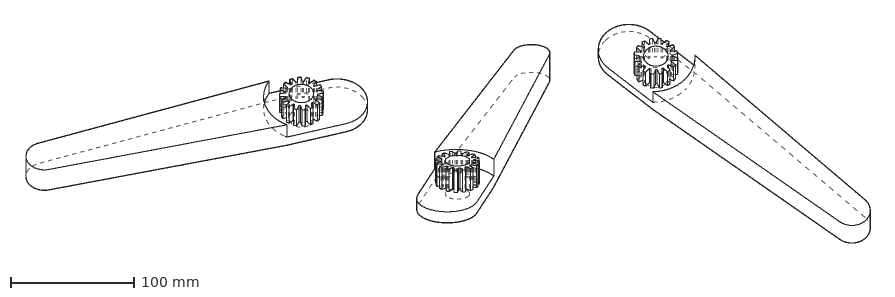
import cadquery as cq
import math

total_length = 288.5
head_width = 50.0
head_thickness = 10.0
handle_thickness = 25.0
total_height = 30.0

head_radius = head_width / 2
head_end_y = 55.0
head_center_y = head_end_y - head_radius
handle_start_y = -20.0
step_bottom_y = -30.5
tip_radius = 15.0
tip_end_y = head_end_y - total_length
tip_center_y = tip_end_y + tip_radius

tooth_count = 16
tip_circle_radius = 18.0
root_circle_radius = 13.3
tooth_tip_width = 2.5
tooth_root_width = 4.0
bore_diameter = 20.0


def tip_tangent_point():
    """Point on the +X side where the tapered edge meets the tip arc tangentially."""
    run = handle_start_y - tip_center_y
    distance = math.hypot(head_radius, run)
    angle = math.atan2(run, head_radius) - math.acos(tip_radius / distance)
    return tip_radius * math.cos(angle), tip_center_y + tip_radius * math.sin(angle)


def make_head():
    """Thin plate with a round end, bounded below by the curved step."""
    return (
        cq.Workplane("XY")
        .moveTo(head_radius, handle_start_y)
        .lineTo(head_radius, head_center_y)
        .threePointArc((0, head_end_y), (-head_radius, head_center_y))
        .lineTo(-head_radius, handle_start_y)
        .threePointArc((0, step_bottom_y), (head_radius, handle_start_y))
        .close()
        .extrude(head_thickness)
    )


def make_handle():
    """Thick tapered handle with a hollowed upper end and a rounded tip."""
    tangent_x, tangent_y = tip_tangent_point()
    return (
        cq.Workplane("XY")
        .moveTo(head_radius, handle_start_y)
        .lineTo(tangent_x, tangent_y)
        .threePointArc((0, tip_end_y), (-tangent_x, tangent_y))
        .lineTo(-head_radius, handle_start_y)
        .threePointArc((0, step_bottom_y), (head_radius, handle_start_y))
        .close()
        .extrude(handle_thickness)
    )


def make_tooth():
    """One tooth along +X, starting inside the gear body, with its tip on the tip circle."""
    half_tip = tooth_tip_width / 2
    half_root = tooth_root_width / 2
    root_x = math.sqrt(root_circle_radius**2 - half_root**2)
    corner_x = math.sqrt(tip_circle_radius**2 - half_tip**2)
    inner_x = (bore_diameter / 2 + root_circle_radius) / 2
    return (
        cq.Workplane("XY")
        .moveTo(inner_x, -half_root)
        .lineTo(root_x, -half_root)
        .lineTo(corner_x, -half_tip)
        .threePointArc((tip_circle_radius, 0), (corner_x, half_tip))
        .lineTo(root_x, half_root)
        .lineTo(inner_x, half_root)
        .close()
        .extrude(total_height)
    )


def make_gear():
    """Toothed boss rising from the base plane; a gap faces each of the X and Y axes."""
    gear = cq.Workplane("XY").circle(root_circle_radius).extrude(total_height)
    tooth = make_tooth()
    pitch_angle = 360 / tooth_count
    for index in range(tooth_count):
        angle = (index + 0.5) * pitch_angle
        gear = gear.union(tooth.rotate((0, 0, 0), (0, 0, 1), angle))
    return gear


bore = cq.Workplane("XY").circle(bore_diameter / 2).extrude(total_height)
result = make_head().union(make_handle()).union(make_gear()).cut(bore)